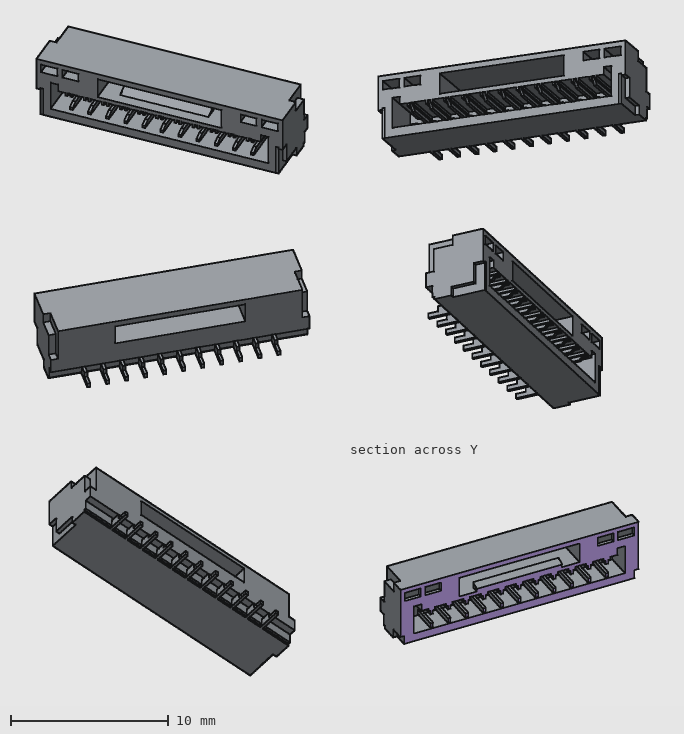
import cadquery as cq


housing_length = 17.0
housing_depth = 4.05
housing_height = 4.25
half_length = housing_length / 2

contact_count = 11
contact_pitch = 1.25
contact_width = 0.2

cavity_half_width = 7.52
cavity_floor = 0.62
cavity_ceiling = 2.15
cavity_depth = 3.0
keyway_width = 0.52
keyway_top = 2.66

rib_width = 0.48
rib_bottom = 1.95

window_half_width = 4.275
window_bottom = 2.46
window_top = 3.85

wedge_half_width = 3.05
wedge_start = 0.77
wedge_run = 1.0
wedge_rise = 0.4

pocket_bottom = 3.3
pocket_top = 3.89
pocket_depth = 1.5
pocket_offsets_and_widths = [(0.32, 1.13), (1.8, 1.1)]

undercut_front = 3.59
undercut_height = 0.98
toe_front = 3.44
toe_height = 0.18

rear_recess_inset = 0.47
rear_recess_front = 2.16
rear_recess_floor = 3.58
rear_leg_front = 3.49
rear_leg_bottom = 1.99

front_recess_inset = 0.28
front_recess_back = 2.26
front_recess_top = 0.61
front_leg_back = 0.67
front_leg_top = 1.94

tab_inner_offset = 0.47
tab_height = 2.05
tab_setback = 0.005

lower_arm_tip = 0.37
lower_arm_bottom = 0.67
lower_arm_tip_top = 0.83
lower_arm_top = 1.02
lower_arm_slope_end = 0.83

upper_arm_tip = 0.05
upper_arm_tip_bottom = 2.10
upper_arm_bottom = 1.69
upper_arm_slope_end = 0.45

tail_end = 4.95
tail_height = 0.31
tail_root_end = 4.26
tail_root_height = 0.67

embed = 0.2


def box(x_range, y_range, z_range):
    """Axis-aligned block between the given limits."""
    x0, x1 = x_range
    y0, y1 = y_range
    z0, z1 = z_range
    return cq.Workplane("XY").box(x1 - x0, y1 - y0, z1 - z0, centered=False).translate((x0, y0, z0))


def side_profile(points, width, x_centre=0.0):
    """Extrude a (Y, Z) outline along X, centred on x_centre."""
    outline = cq.Workplane("YZ", origin=(x_centre, 0, 0)).polyline(points).close()
    return outline.extrude(width / 2, both=True)


def both_ends(solid):
    """The solid together with its mirror image across X = 0."""
    return solid.union(solid.mirror("YZ"))


def make_housing_block():
    return side_profile(
        [
            (0, 0),
            (toe_front, 0),
            (toe_front, toe_height),
            (undercut_front, toe_height),
            (undercut_front, undercut_height),
            (housing_depth, undercut_height),
            (housing_depth, housing_height),
            (0, housing_height),
        ],
        housing_length,
    )


def make_cavity():
    main = box(
        (-cavity_half_width, cavity_half_width), (0, cavity_depth), (cavity_floor, cavity_ceiling)
    )
    keyway = box(
        (-cavity_half_width, keyway_width - cavity_half_width),
        (0, cavity_depth),
        (cavity_floor, keyway_top),
    )
    return main.union(both_ends(keyway))


def make_window():
    return box(
        (-window_half_width, window_half_width), (0, housing_depth), (window_bottom, window_top)
    )


def make_wedge():
    wedge_end = wedge_start + wedge_run
    return side_profile(
        [
            (wedge_start, window_bottom),
            (wedge_end, window_bottom),
            (wedge_end, window_bottom + wedge_rise),
        ],
        2 * wedge_half_width,
    )


def make_pockets():
    pockets = cq.Workplane("XY")
    for offset, width in pocket_offsets_and_widths:
        left = offset - half_length
        pocket = box((left, left + width), (0, pocket_depth), (pocket_bottom, pocket_top))
        pockets = pockets.add(both_ends(pocket))
    return pockets.combine()


def make_rear_recesses():
    x_range = (-half_length, rear_recess_inset - half_length)
    upper = box(x_range, (rear_recess_front, housing_depth), (rear_recess_floor, housing_height))
    leg = box(x_range, (rear_leg_front, housing_depth), (rear_leg_bottom, housing_height))
    return both_ends(upper.union(leg))


def make_front_recesses():
    x_range = (-half_length, front_recess_inset - half_length)
    foot = box(x_range, (0, front_recess_back), (0, front_recess_top))
    leg = box(x_range, (0, front_leg_back), (0, front_leg_top))
    tab_edge = box(
        (front_recess_inset - half_length, tab_inner_offset - half_length),
        (0, tab_setback),
        (0, tab_height),
    )
    return both_ends(foot.union(leg).union(tab_edge))


def make_rib(x):
    return box(
        (x - rib_width / 2, x + rib_width / 2), (0, cavity_depth), (rib_bottom, cavity_ceiling)
    )


def make_rib_slot(x):
    """Clearance in the rib ahead of the sloped tip of the upper contact arm."""
    return box(
        (x - contact_width / 2, x + contact_width / 2),
        (0, upper_arm_slope_end),
        (rib_bottom, cavity_ceiling),
    )


def make_contact(x):
    arm_root = cavity_depth + embed
    lower_arm = side_profile(
        [
            (lower_arm_tip, lower_arm_bottom),
            (arm_root, lower_arm_bottom),
            (arm_root, lower_arm_top),
            (lower_arm_slope_end, lower_arm_top),
            (lower_arm_tip, lower_arm_tip_top),
        ],
        contact_width,
        x,
    )
    upper_arm = side_profile(
        [
            (upper_arm_tip, upper_arm_tip_bottom),
            (upper_arm_slope_end, upper_arm_bottom),
            (arm_root, upper_arm_bottom),
            (arm_root, cavity_ceiling + embed),
            (upper_arm_tip, cavity_ceiling + embed),
        ],
        contact_width,
        x,
    )
    tail_start = toe_front - embed
    tail = side_profile(
        [
            (tail_start, 0),
            (tail_end, 0),
            (tail_end, tail_height),
            (tail_root_end, tail_height),
            (tail_root_end, tail_root_height),
            (tail_start, tail_root_height),
        ],
        contact_width,
        x,
    )
    return lower_arm.union(upper_arm).union(tail)


housing = make_housing_block()
housing = housing.cut(make_cavity())
housing = housing.cut(make_window())
housing = housing.union(make_wedge())
housing = housing.cut(make_pockets())
housing = housing.cut(make_rear_recesses())
housing = housing.cut(make_front_recesses())

result = housing
for index in range(contact_count):
    contact_x = (index - (contact_count - 1) / 2) * contact_pitch
    rib = make_rib(contact_x).cut(make_rib_slot(contact_x))
    result = result.union(rib).union(make_contact(contact_x))